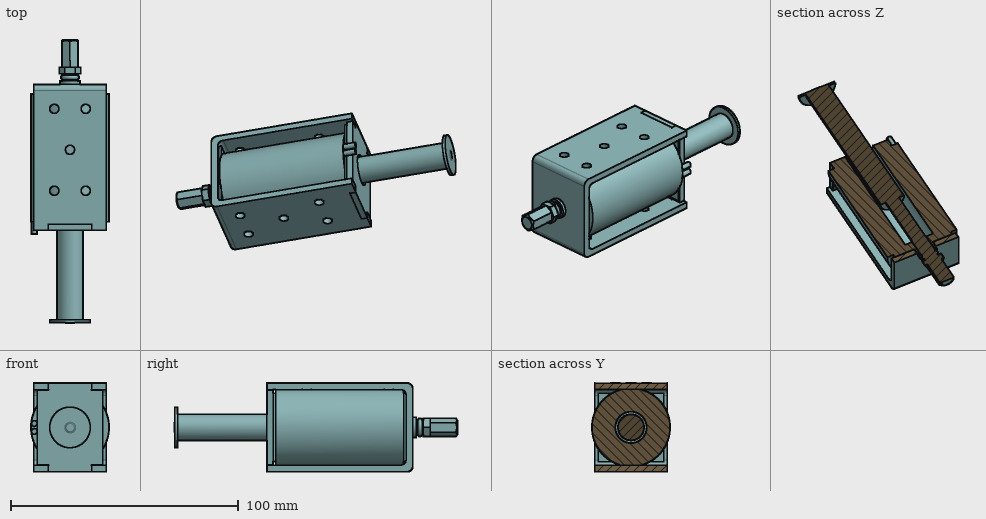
import cadquery as cq


frame_width = 32.0
frame_height = 39.12
frame_length = 64.1
frame_wall = 3.0
frame_outer_radius = 2.6
frame_inner_radius = 2.4
inner_height = frame_height - 2 * frame_wall
rear_wall_y = frame_length - frame_wall
mount_hole_diameter = 4.0
mount_hole_pitch_x = 13.8
mount_hole_pitch_y = 36.0
mount_center_y = 35.4

plate_thickness = 2.7
plate_width = 28.9
plate_clearance = 0.25
plate_body_height = inner_height - 2 * plate_clearance
tab_width = 19.05

coil_diameter = 34.46
coil_front_y = 3.75
coil_rear_y = 60.0
spacer_inset = 0.1
spacer_width = plate_width - 2 * spacer_inset
spacer_height = 30.0
bore_diameter = 13.69
bore_end_wall = 3.0
bore_end_y = coil_rear_y - bore_end_wall
bushing_diameter = 8.91
bushing_end_y = 65.65

lead_diameter = 2.52
lead_front_y = -1.6
lead_x = -(plate_width + lead_diameter) / 2
lead_pitch = 3.5

overall_length = 124.46
plunger_diameter = 11.56
plunger_front_y = -40.7
plunger_inner_y = (coil_front_y + coil_rear_y) / 2
head_diameter = 17.86
head_thickness = 1.3
rivet_diameter = 4.75
rivet_tip_diameter = 3.65
rivet_height = 0.15
rod_diameter = 6.65
ring_center_y = 67.2
ring_thickness = 1.9
ring_outer_diameter = 8.1
nut_front_y = 68.7
nut_rear_y = 71.75
nut_across_corners = 9.5
tip_rear_y = plunger_front_y + overall_length
tip_across_corners = 8.2
tip_turn = 30
tip_end_diameter = 5.87
tip_chamfer_length = 0.8


def rod(diameter, start_y, end_y, x=0, z=0):
    """Cylinder along Y between two stations."""
    circle = cq.Workplane("XZ", origin=(x, start_y, z)).circle(diameter / 2)
    return circle.extrude(start_y - end_y)


def block(width, height, start_y, end_y):
    """Box centered on the Y axis between two stations."""
    rectangle = cq.Workplane("XZ", origin=(0, start_y, 0)).rect(width, height)
    return rectangle.extrude(start_y - end_y)


def hexagon(across_corners, start_y, end_y, turn=0):
    """Hexagonal bar along Y; its corners lie on X unless it is turned."""
    outline = cq.Workplane("XZ", origin=(0, start_y, 0)).polygon(6, across_corners)
    bar = outline.extrude(start_y - end_y)
    return bar.rotate((0, 0, 0), (0, 1, 0), turn)


def make_frame_cavity(width):
    """Space between the frame arms, with rounded inner corners."""
    cavity = block(width, inner_height, 0, rear_wall_y)
    return cavity.edges("|X and >Y").fillet(frame_inner_radius)


def make_frame():
    outer = block(frame_width, frame_height, 0, frame_length)
    outer = outer.edges("|X and >Y").fillet(frame_outer_radius)
    frame = outer.cut(make_frame_cavity(frame_width))

    tab_notches = block(tab_width, frame_height, 0, plate_thickness)
    frame = frame.cut(tab_notches)

    hole_x = mount_hole_pitch_x / 2
    hole_y = mount_hole_pitch_y / 2
    corners = [(x, y) for x in (-hole_x, hole_x) for y in (-hole_y, hole_y)]
    mount_holes = (
        cq.Workplane("XY", origin=(0, mount_center_y, -frame_height / 2))
        .pushPoints(corners + [(0, 0)])
        .circle(mount_hole_diameter / 2)
        .extrude(frame_height)
    )
    frame = frame.cut(mount_holes)
    return frame.cut(rod(bushing_diameter, rear_wall_y, frame_length))


def make_coil():
    winding = rod(coil_diameter, coil_front_y, coil_rear_y)
    front_spacer = block(spacer_width, spacer_height, plate_thickness, coil_front_y)
    rear_spacer = block(spacer_width, spacer_height, coil_rear_y, rear_wall_y)
    coil = winding.union(front_spacer).union(rear_spacer)
    coil = coil.intersect(make_frame_cavity(coil_diameter))

    plate = block(plate_width, plate_body_height, 0, plate_thickness)
    tabs = block(tab_width, frame_height, 0, plate_thickness)
    bushing = rod(bushing_diameter, coil_rear_y, bushing_end_y)
    coil = coil.union(plate).union(tabs).union(bushing)

    coil = coil.cut(rod(bore_diameter, 0, bore_end_y))
    coil = coil.cut(rod(rod_diameter, bore_end_y, bushing_end_y))

    for side in (-1, 1):
        lead = rod(lead_diameter, lead_front_y, coil_front_y, lead_x, side * lead_pitch / 2)
        coil = coil.union(lead)
    return coil


def make_rivet():
    base_y = plunger_front_y + rivet_height
    return (
        cq.Workplane("XZ", origin=(0, base_y, 0))
        .circle(rivet_diameter / 2)
        .workplane(offset=rivet_height)
        .circle(rivet_tip_diameter / 2)
        .loft()
    )


def make_cushion_ring():
    ring_radius = (ring_outer_diameter - ring_thickness) / 2
    return (
        cq.Workplane("XY")
        .moveTo(0, ring_center_y - ring_thickness / 2)
        .lineTo(ring_radius, ring_center_y - ring_thickness / 2)
        .threePointArc(
            (ring_outer_diameter / 2, ring_center_y),
            (ring_radius, ring_center_y + ring_thickness / 2),
        )
        .lineTo(0, ring_center_y + ring_thickness / 2)
        .close()
        .revolve(360, (0, 0, 0), (0, 1, 0))
    )


def make_tip():
    bar = hexagon(tip_across_corners, nut_rear_y, tip_rear_y, turn=tip_turn)
    corner_radius = tip_across_corners / 2
    envelope = (
        cq.Workplane("XY")
        .moveTo(0, nut_rear_y)
        .lineTo(corner_radius, nut_rear_y)
        .lineTo(corner_radius, tip_rear_y - tip_chamfer_length)
        .lineTo(tip_end_diameter / 2, tip_rear_y)
        .lineTo(0, tip_rear_y)
        .close()
        .revolve(360, (0, 0, 0), (0, 1, 0))
    )
    return bar.intersect(envelope)


def make_plunger():
    head_front_y = plunger_front_y + rivet_height
    head_rear_y = head_front_y + head_thickness
    plunger = rod(plunger_diameter, head_front_y, plunger_inner_y)
    plunger = plunger.union(rod(head_diameter, head_front_y, head_rear_y))
    plunger = plunger.union(make_rivet())
    plunger = plunger.union(rod(rod_diameter, plunger_inner_y, nut_front_y))
    plunger = plunger.union(make_cushion_ring())
    plunger = plunger.union(hexagon(nut_across_corners, nut_front_y, nut_rear_y))
    return plunger.union(make_tip())


frame = make_frame()
coil = make_coil()
plunger = make_plunger()

result = cq.Compound.makeCompound([frame.val(), coil.val(), plunger.val()])